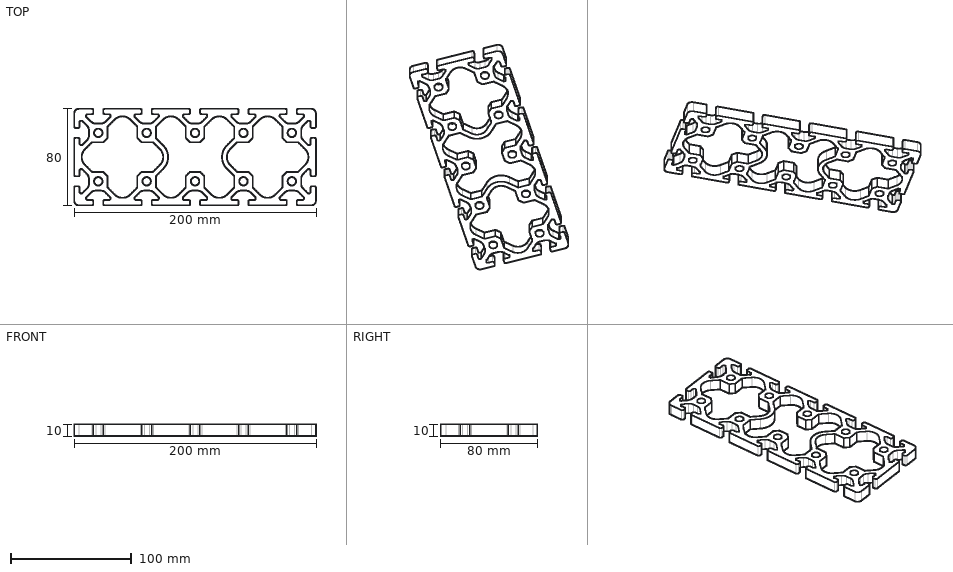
import cadquery as cq
import math

cell = 40.0
columns = 5
rows = 2
thickness = 10.0
length = columns * cell
width = rows * cell
corner_radius = 4.0

bore_diameter = 6.8
boss_half = 7.8
boss_chamfer = 3.5

mouth_half = 4.0
lip_depth = 4.5
lip_radius = 1.5
undercut_half = 10.0
undercut_radius = 1.2
floor_half = 4.5
floor_radius = 5.5
floor_depth = cell / 2 - boss_half
undercut_depth = floor_depth - (undercut_half - floor_half)

skin = 6.5
web_setback = 2.5
waist_wall = 4.2
end_cavity_x = length / 2 - cell
web_angle = 45.0

boss_near = cell / 2 - boss_half
boss_far = cell / 2 + boss_half
web_foot = boss_far - web_setback
lobe_reach = cell - skin
lobe_half = boss_near - (lobe_reach - web_foot)
round_end_ratio = math.tan(math.radians(web_angle / 2))
lobe_radius = lobe_half / round_end_ratio


def on_arc(apex_distance, radius, degrees):
    """Distance along and across the axis of a round end, at an angle from its apex."""
    angle = math.radians(degrees)
    return apex_distance - radius * (1 - math.cos(angle)), radius * math.sin(angle)


def four_fold(quadrant):
    """Complete a first-quadrant solid by mirroring it across both axes."""
    half = quadrant.union(quadrant.mirror("YZ"))
    return half.union(half.mirror("XZ"))


def slot():
    """T-slot opening toward +Y, with its mouth centred on the origin."""
    arc_inset = 1 - math.sqrt(0.5)
    lip_shift = lip_radius * arc_inset
    undercut_shift = undercut_radius * arc_inset
    flare = mouth_half + lip_radius
    half = (
        cq.Workplane("XY")
        .lineTo(flare, 0)
        .threePointArc((mouth_half + lip_shift, -lip_shift), (mouth_half, -lip_radius))
        .lineTo(mouth_half, lip_radius - lip_depth)
        .threePointArc((mouth_half + lip_shift, lip_shift - lip_depth), (flare, -lip_depth))
        .lineTo(undercut_half - undercut_radius, -lip_depth)
        .threePointArc(
            (undercut_half - undercut_shift, -lip_depth - undercut_shift),
            (undercut_half, -lip_depth - undercut_radius),
        )
        .lineTo(undercut_half, -undercut_depth)
        .lineTo(floor_half, -floor_depth)
        .lineTo(0, -floor_depth)
        .close()
        .extrude(thickness)
    )
    cutter = half.union(half.mirror("YZ"))
    return cutter.edges("|Z").edges("<Y").fillet(floor_radius)


def end_cavity():
    """Opening with four round lobes between four bosses, centred on the origin."""
    lobe_mid = on_arc(lobe_reach, lobe_radius, web_angle / 2)
    lobe_end = on_arc(lobe_reach, lobe_radius, web_angle)
    quadrant = (
        cq.Workplane("XY")
        .lineTo(lobe_reach, 0)
        .threePointArc(lobe_mid, lobe_end)
        .lineTo(web_foot, boss_near)
        .lineTo(boss_near + boss_chamfer, boss_near)
        .lineTo(boss_near, boss_near + boss_chamfer)
        .lineTo(boss_near, web_foot)
        .lineTo(*reversed(lobe_end))
        .threePointArc(tuple(reversed(lobe_mid)), (0, lobe_reach))
        .close()
        .extrude(thickness)
    )
    return four_fold(quadrant)


def middle_cavity():
    """Opening around the middle pair of bosses, narrowed where the end cavities bulge in."""
    lobe_x = cell / 2
    lobe_end, lobe_side = on_arc(lobe_reach, lobe_radius, web_angle)
    outer_flank = cell - boss_half
    waist_foot = cell / 2 - floor_half
    waist_reach = lobe_reach + waist_wall
    waist_x = end_cavity_x - waist_reach
    waist_half = waist_foot - (outer_flank - waist_x)
    waist_radius = waist_half / round_end_ratio
    mid_reach, mid_y = on_arc(waist_reach, waist_radius, web_angle / 2)
    end_reach, end_y = on_arc(waist_reach, waist_radius, web_angle)
    quadrant = (
        cq.Workplane("XY")
        .lineTo(waist_x, 0)
        .threePointArc((end_cavity_x - mid_reach, mid_y), (end_cavity_x - end_reach, end_y))
        .lineTo(outer_flank, waist_foot)
        .lineTo(outer_flank, web_foot)
        .lineTo(lobe_x + lobe_side, lobe_end)
        .threePointArc((lobe_x, lobe_reach), (lobe_x - lobe_side, lobe_end))
        .lineTo(boss_half, web_foot)
        .lineTo(boss_half, boss_near + boss_chamfer)
        .lineTo(boss_half - boss_chamfer, boss_near)
        .lineTo(0, boss_near)
        .close()
        .extrude(thickness)
    )
    return four_fold(quadrant)


result = cq.Workplane("XY").box(length, width, thickness, centered=(True, True, False))
result = result.edges("|Z").fillet(corner_radius)

slot_cutter = slot()
for facing in (0, 90, 180, 270):
    along_x = facing % 180 == 0
    count = columns if along_x else rows
    face_distance = (width if along_x else length) / 2
    for index in range(count):
        offset = (index - (count - 1) / 2) * cell
        placed = slot_cutter.translate((offset, face_distance, 0))
        result = result.cut(placed.rotate((0, 0, 0), (0, 0, 1), facing))

for x in (-end_cavity_x, end_cavity_x):
    result = result.cut(end_cavity().translate((x, 0, 0)))
result = result.cut(middle_cavity())

bores = (
    cq.Workplane("XY")
    .rarray(cell, cell, columns, rows)
    .circle(bore_diameter / 2)
    .extrude(thickness)
)
result = result.cut(bores)